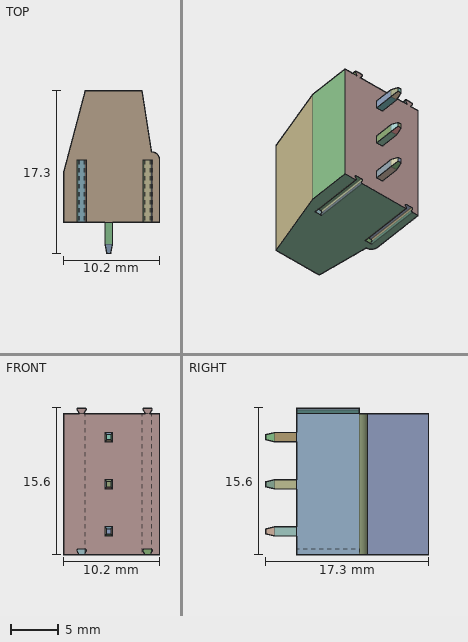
import cadquery as cq
import math

pole_count = 3
pitch = 5.0
body_width = 10.2
body_depth = 14.0
body_height = pole_count * pitch
left_wall_depth = 5.3
back_left_x = 2.3
back_right_x = 8.34
shoulder_depth = 7.5
shoulder_radius = 0.85

pin_x = 4.8
pin_width = 0.8
pin_height = 1.0
pin_length = 3.3
pin_tip_length = 0.96
pin_tip_width = 0.43
pin_tip_height = 0.54

dovetail_centers_x = (1.92, 8.92)
dovetail_length = 6.65
dovetail_neck_width = 0.5
dovetail_flank_angle = 30.0
rib_height = 0.59
rib_round = 0.13
groove_depth = 0.63
groove_round = 0.15
groove_lip_round = 0.13


def make_housing():
    shoulder_x = body_width - shoulder_radius
    shoulder_base_y = shoulder_depth - shoulder_radius
    arc_offset = shoulder_radius * math.sqrt(0.5)
    return (
        cq.Workplane("XY")
        .moveTo(0, 0)
        .lineTo(body_width, 0)
        .lineTo(body_width, shoulder_base_y)
        .threePointArc(
            (shoulder_x + arc_offset, shoulder_base_y + arc_offset),
            (shoulder_x, shoulder_depth),
        )
        .lineTo(back_right_x, body_depth)
        .lineTo(back_left_x, body_depth)
        .lineTo(0, left_wall_depth)
        .close()
        .extrude(body_height)
    )


def make_dovetail(center_x, base_z, height, corner_round):
    """Dovetail bar along +Y from Y = 0, narrow at base_z, with rounded wide corners."""
    neck_half = dovetail_neck_width / 2
    wide_half = neck_half + height * math.tan(math.radians(dovetail_flank_angle))
    return (
        cq.Workplane("XZ", origin=(center_x, 0, base_z))
        .polyline([(-neck_half, 0), (neck_half, 0), (wide_half, height), (-wide_half, height)])
        .close()
        .extrude(-dovetail_length)
        .edges("|Y and >Z")
        .fillet(corner_round)
    )


def add_ribs(part):
    for center_x in dovetail_centers_x:
        part = part.union(make_dovetail(center_x, body_height, rib_height, rib_round))
    return part


def cut_grooves(part):
    lip_reach = dovetail_neck_width
    for center_x in dovetail_centers_x:
        part = part.cut(make_dovetail(center_x, 0, groove_depth, groove_round))
        lip_edges = cq.selectors.BoxSelector(
            (center_x - lip_reach, 0, -lip_reach / 2),
            (center_x + lip_reach, dovetail_length - lip_reach, lip_reach / 2),
        )
        part = part.edges("|Y").edges(lip_edges).fillet(groove_lip_round)
    return part


def make_pin(center_z):
    shank_length = pin_length - pin_tip_length
    shank = (
        cq.Workplane("XZ", origin=(pin_x, 0, center_z))
        .rect(pin_width, pin_height)
        .extrude(shank_length)
    )
    tip = (
        cq.Workplane("XZ", origin=(pin_x, -shank_length, center_z))
        .rect(pin_width, pin_height)
        .workplane(offset=pin_tip_length)
        .rect(pin_tip_width, pin_tip_height)
        .loft(ruled=True)
    )
    return shank.union(tip)


def add_pins(part):
    for pole in range(pole_count):
        part = part.union(make_pin((pole + 0.5) * pitch))
    return part


result = add_pins(add_ribs(cut_grooves(make_housing())))